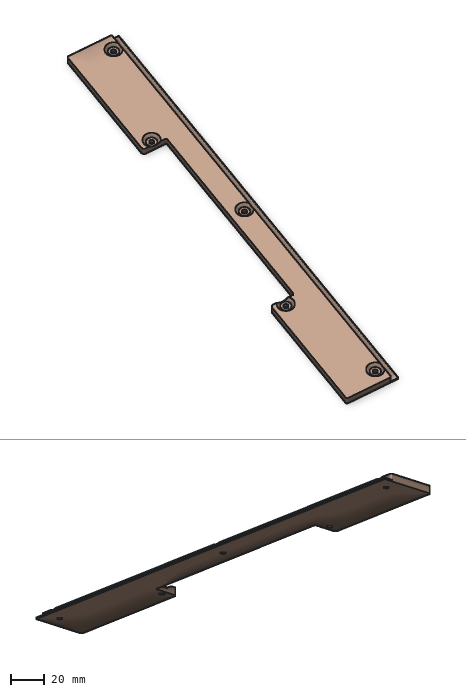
import cadquery as cq

length = 315.0
width = 37.0
thickness = 5.0

ledge_width = 5.0
ledge_thickness = 1.0

notch_length = 143.5
notch_depth = 16.7

end_corner_radius = 1.0
notch_mouth_radius = 2.0
notch_inner_radius = 1.0

back_hole_inset = 10.0
front_hole_inset = 8.5
front_hole_spacing = 151.2
seat_top_diameter = 11.0
seat_floor_diameter = 7.0
seat_depth = 2.0
bore_diameter = 3.0

front_y = -width / 2
back_y = width / 2
step_y = back_y - ledge_width
body_width = width - ledge_width
notch_y = front_y + notch_depth


def block(size_x, size_y, height, y_min):
    """Box centred on X, standing on Z = 0, with its front face at y_min."""
    return cq.Workplane("XY").box(size_x, size_y, height, centered=(True, False, False)).translate((0, y_min, 0))


def round_corners(body, radius, half_x, y):
    """Round the two vertical edges at (-half_x, y) and (half_x, y)."""
    for x in (-half_x, half_x):
        edge = cq.selectors.NearestToPointSelector((x, y, thickness / 2))
        body = body.edges("|Z").edges(edge).fillet(radius)
    return body


def make_body():
    """Thick plate with the notch and rounded corners."""
    body = block(length, body_width, thickness, front_y)
    body = body.cut(block(notch_length, notch_depth, thickness, front_y))
    body = round_corners(body, end_corner_radius, length / 2, front_y)
    body = round_corners(body, end_corner_radius, length / 2, step_y)
    body = round_corners(body, notch_mouth_radius, notch_length / 2, front_y)
    return round_corners(body, notch_inner_radius, notch_length / 2, notch_y)


def make_ledge():
    """Thin strip along the back, reaching under the body past its rounded corners."""
    strip_width = ledge_width + end_corner_radius
    return block(length, strip_width, ledge_thickness, back_y - strip_width)


def make_screw_hole():
    """Cutter for one screw hole at the origin: through bore plus conical seat."""
    bore = cq.Workplane("XY").circle(bore_diameter / 2).extrude(thickness)
    seat = (
        cq.Workplane("XY", origin=(0, 0, thickness - seat_depth))
        .circle(seat_floor_diameter / 2)
        .workplane(offset=seat_depth)
        .circle(seat_top_diameter / 2)
        .loft()
    )
    return bore.union(seat)


back_hole_x = length / 2 - back_hole_inset
back_hole_y = back_y - back_hole_inset
front_hole_x = front_hole_spacing / 2
front_hole_y = front_y + front_hole_inset
hole_positions = [
    (-back_hole_x, back_hole_y),
    (0, back_hole_y),
    (back_hole_x, back_hole_y),
    (-front_hole_x, front_hole_y),
    (front_hole_x, front_hole_y),
]

result = make_body().union(make_ledge())
screw_hole = make_screw_hole()
for x, y in hole_positions:
    result = result.cut(screw_hole.translate((x, y, 0)))